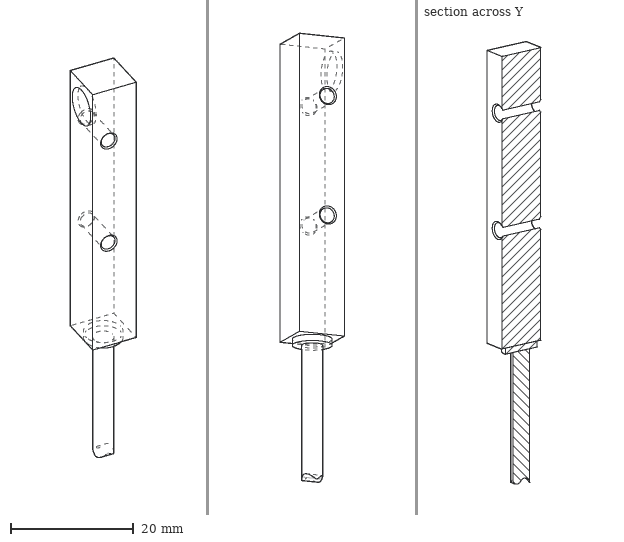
import cadquery as cq

total_length = 73.9
housing_width = 8.0
housing_length = 50.05
collar_diameter = 6.5
collar_length = 1.0
cable_diameter = 3.5

face_diameter = 6.5
face_thickness = 1.0
face_drop = 4.7

hole_diameter = 2.5
hole_mouth_diameter = 3.0
hole_offset_y = -1.0
first_hole_drop = 10.0
hole_spacing = 20.0
hole_count = 2

crest_x, crest_height = -0.7, 0.95
middle_x, middle_height = 0.1, 0.6
trough_x, trough_height = 0.95, 0.2
far_edge_height = 1.1

housing_bottom = total_length - housing_length
collar_bottom = housing_bottom - collar_length
face_center_z = total_length - face_drop
hole_depths = [first_hole_drop + i * hole_spacing for i in range(hole_count)]


def make_sensing_face():
    """Round disc whose outer side lies in the -Y side of the housing."""
    center = (0, -housing_width / 2, face_center_z)
    return (
        cq.Workplane("XZ", origin=center)
        .circle(face_diameter / 2)
        .extrude(-face_thickness)
    )


def make_mounting_hole(z):
    """Cutter for one through hole, countersunk at 45 degrees at both ends."""
    half_width = housing_width / 2
    radius = hole_diameter / 2
    mouth_radius = hole_mouth_diameter / 2
    countersink_depth = mouth_radius - radius
    profile = [
        (-half_width, 0),
        (-half_width, mouth_radius),
        (-half_width + countersink_depth, radius),
        (half_width - countersink_depth, radius),
        (half_width, mouth_radius),
        (half_width, 0),
    ]
    return (
        cq.Workplane("XY", origin=(0, hole_offset_y, z))
        .polyline(profile)
        .close()
        .revolve(360, (0, 0), (1, 0))
    )


def make_housing(sensing_face):
    """Square bar with a recess for the sensing face and the mounting holes."""
    body = (
        cq.Workplane("XY", origin=(0, 0, housing_bottom))
        .rect(housing_width, housing_width)
        .extrude(housing_length)
        .cut(sensing_face)
    )
    for depth in hole_depths:
        body = body.cut(make_mounting_hole(total_length - depth))
    return body


def make_collar():
    """Short round collar between the housing and the cable."""
    return (
        cq.Workplane("XY", origin=(0, 0, collar_bottom))
        .circle(collar_diameter / 2)
        .extrude(collar_length)
    )


def make_cable():
    """Round cable with its lower end cut to an S-shaped wave along X."""
    radius = cable_diameter / 2
    cable = cq.Workplane("XY").circle(radius).extrude(collar_bottom)
    below_wave = (
        cq.Workplane("XZ")
        .moveTo(-radius, 0)
        .threePointArc((crest_x, crest_height), (middle_x, middle_height))
        .threePointArc((trough_x, trough_height), (radius, far_edge_height))
        .lineTo(radius, 0)
        .close()
        .extrude(radius, both=True)
    )
    return cable.cut(below_wave)


sensing_face = make_sensing_face()
housing = make_housing(sensing_face)
collar = make_collar()
cable = make_cable()

result = cq.Compound.makeCompound(
    [housing.solids().val(), sensing_face.val(), collar.val(), cable.solids().val()]
)